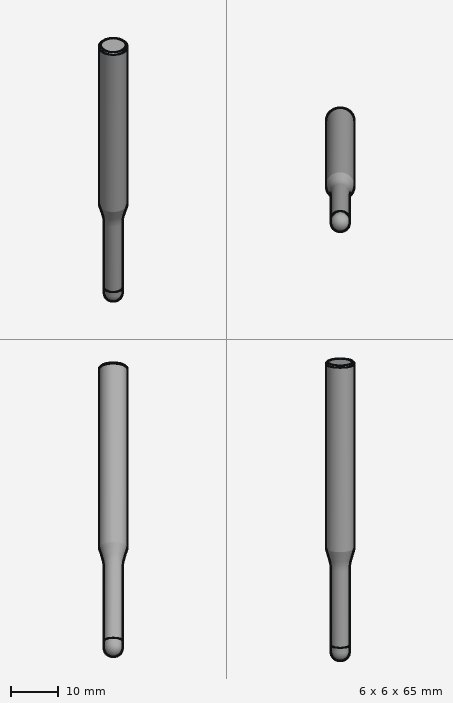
import cadquery as cq
import math

total_length = 65.0
shank_radius = 6.0 / 2
shank_bottom_z = 24.45
shank_chamfer = 0.4

neck_radius = 4.0 / 2
neck_top_z = 20.15
tip_length = 3.4

blend_radius = 6.5
blend_height = 1.75


def blend_point(angle):
    """Point on the blend arc, with the angle measured from its lower end."""
    radius = neck_radius + blend_radius * (1 - math.cos(angle))
    return radius, neck_top_z + blend_radius * math.sin(angle)


def make_shank():
    """Chamfered shank that tapers down to the neck."""
    blend_angle = math.asin(blend_height / blend_radius)
    profile = (
        cq.Workplane("XZ")
        .moveTo(0, tip_length)
        .lineTo(neck_radius, tip_length)
        .lineTo(neck_radius, neck_top_z)
        .threePointArc(blend_point(blend_angle / 2), blend_point(blend_angle))
        .lineTo(shank_radius, shank_bottom_z)
        .lineTo(shank_radius, total_length)
        .lineTo(0, total_length)
        .close()
    )
    body = profile.revolve(360, (0, 0, 0), (0, 1, 0))
    return body.faces(">Z").chamfer(shank_chamfer)


def make_ball_tip():
    """Short cylinder with a hemispherical lower end."""
    arc_offset = neck_radius * math.sin(math.pi / 4)
    profile = (
        cq.Workplane("XZ")
        .moveTo(0, 0)
        .threePointArc((arc_offset, neck_radius - arc_offset), (neck_radius, neck_radius))
        .lineTo(neck_radius, tip_length)
        .lineTo(0, tip_length)
        .close()
    )
    return profile.revolve(360, (0, 0, 0), (0, 1, 0))


shank = make_shank()
ball_tip = make_ball_tip()

result = cq.Compound.makeCompound([shank.val(), ball_tip.val()])